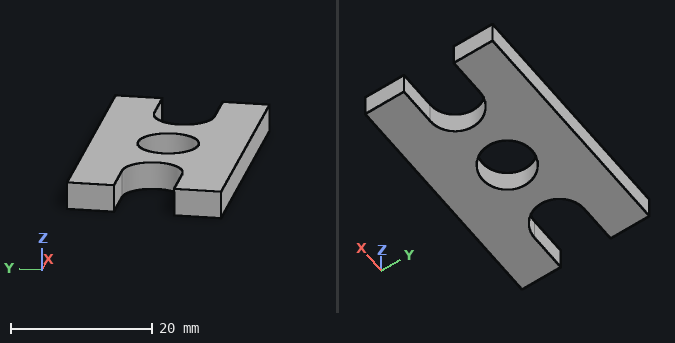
import cadquery as cq

length = 38.1
width = 22.2
thickness = 4.0

bore_diameter = 8.65
slot_depth = 10.7


def end_slot(side):
    """Cutter for a round-bottomed slot open at the +X (side=1) or -X (side=-1) end.

    Its full-round outer end lies beyond the plate, so the slot leaves the end at full width.
    """
    cutter_length = 2 * slot_depth
    return (
        cq.Workplane("XY")
        .center(side * length / 2, 0)
        .slot2D(cutter_length, bore_diameter)
        .extrude(thickness)
    )


plate = cq.Workplane("XY").rect(length, width).extrude(thickness)
center_hole = cq.Workplane("XY").circle(bore_diameter / 2).extrude(thickness)

result = plate.cut(center_hole)
for side in (-1, 1):
    result = result.cut(end_slot(side))